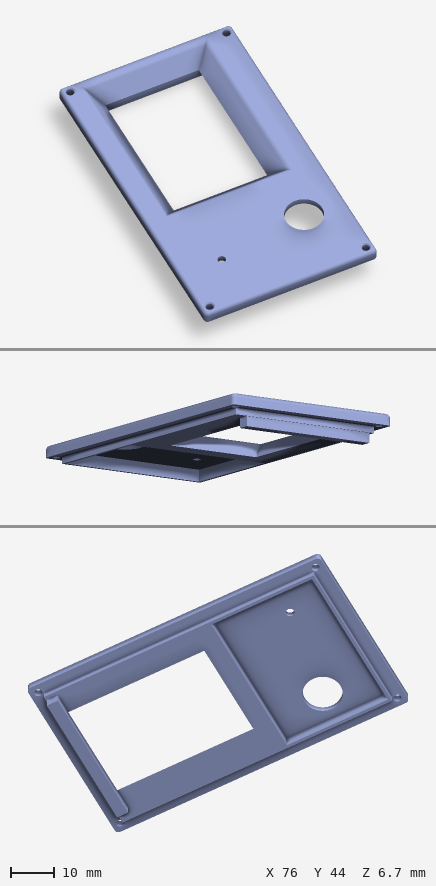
import cadquery as cq
import math

length = 76.0
width = 44.0
total_height = 6.7
plate_thickness = 2.8
edge_radius = 1.0

lip_depth = 1.5
lip_inset_x = 3.05
lip_inset_y = 2.8

foot_height = total_height - plate_thickness - lip_depth
foot_start_x = 3.3
foot_length = 34.2
foot_thickness = 2.8

window_left = 6.1
window_bottom = 9.05
window_length = 35.3
window_width = 23.9
window_run = 3.95
window_edge_radius = 2.0

panel_thickness = 1.5
recess_wall = 0.75

large_hole_diameter = 9.2
large_hole_center = (59.0, 33.6)
small_hole_diameter = 2.0
small_hole_center = (62.7, 10.7)
screw_hole_diameter = 1.8
screw_sink_diameter = 2.4
screw_inset = 2.05
screw_sink_angle = 90

lip_bottom = -lip_depth
window_depth = plate_thickness + lip_depth
window_right = window_left + window_length
window_center_x = window_left + window_length / 2
window_center_y = window_bottom + window_width / 2


def box(x, y, z, size_x, size_y, size_z):
    """Box given by its lowest corner and its size."""
    return cq.Workplane("XY").box(size_x, size_y, size_z, centered=False).translate((x, y, z))


def make_plate():
    plate = box(0, 0, 0, length, width, plate_thickness)
    return plate.edges("|Z").fillet(edge_radius).faces(">Z").edges().fillet(edge_radius)


def make_lip():
    lip_length = length - 2 * lip_inset_x
    lip_width = width - 2 * lip_inset_y
    return box(lip_inset_x, lip_inset_y, lip_bottom, lip_length, lip_width, lip_depth)


def make_foot():
    foot_y = window_center_y - foot_length / 2
    foot_z = lip_bottom - foot_height
    return box(foot_start_x, foot_y, foot_z, foot_thickness, foot_length, foot_height)


def window_prism(opening, span):
    """Prism along Y: its section flares upward from the opening and rolls over at the rim."""
    slope = math.atan2(window_depth, window_run)
    tangent = window_edge_radius * math.tan(slope / 2)
    half = opening / 2
    wall_end_x = half + window_run - tangent * math.cos(slope)
    wall_end_z = plate_thickness - tangent * math.sin(slope)
    rim_x = half + window_run + tangent
    arc_x = rim_x - window_edge_radius * math.sin(slope / 2)
    arc_z = plate_thickness - window_edge_radius * (1 - math.cos(slope / 2))
    section = (
        cq.Workplane("XZ")
        .moveTo(-half, lip_bottom)
        .lineTo(half, lip_bottom)
        .lineTo(wall_end_x, wall_end_z)
        .threePointArc((arc_x, arc_z), (rim_x, plate_thickness))
        .lineTo(-rim_x, plate_thickness)
        .threePointArc((-arc_x, arc_z), (-wall_end_x, wall_end_z))
        .close()
    )
    return section.extrude(span / 2, both=True)


def make_window():
    """Where two crossed prisms overlap, their walls meet in mitred corners."""
    across_x = window_prism(window_length, length)
    across_y = window_prism(window_width, length).rotate((0, 0, 0), (0, 0, 1), 90)
    return across_x.intersect(across_y).translate((window_center_x, window_center_y, 0))


def make_recess():
    left = window_right + window_run + recess_wall
    right = length - lip_inset_x - recess_wall
    front = lip_inset_y + recess_wall
    depth = window_depth - panel_thickness
    return box(left, front, lip_bottom, right - left, width - 2 * front, depth)


result = make_plate().union(make_lip()).union(make_foot())
result = result.cut(make_window()).cut(make_recess())

top = cq.Workplane("XY").workplane(offset=plate_thickness)
for center, diameter in (
    (large_hole_center, large_hole_diameter),
    (small_hole_center, small_hole_diameter),
):
    result = result.cut(top.center(*center).circle(diameter / 2).extrude(-window_depth))

screw_points = [
    (x, y)
    for x in (screw_inset, length - screw_inset)
    for y in (screw_inset, width - screw_inset)
]
result = (
    result.faces(">Z")
    .workplane(origin=(0, 0, plate_thickness))
    .pushPoints(screw_points)
    .cskHole(screw_hole_diameter, screw_sink_diameter, screw_sink_angle)
)